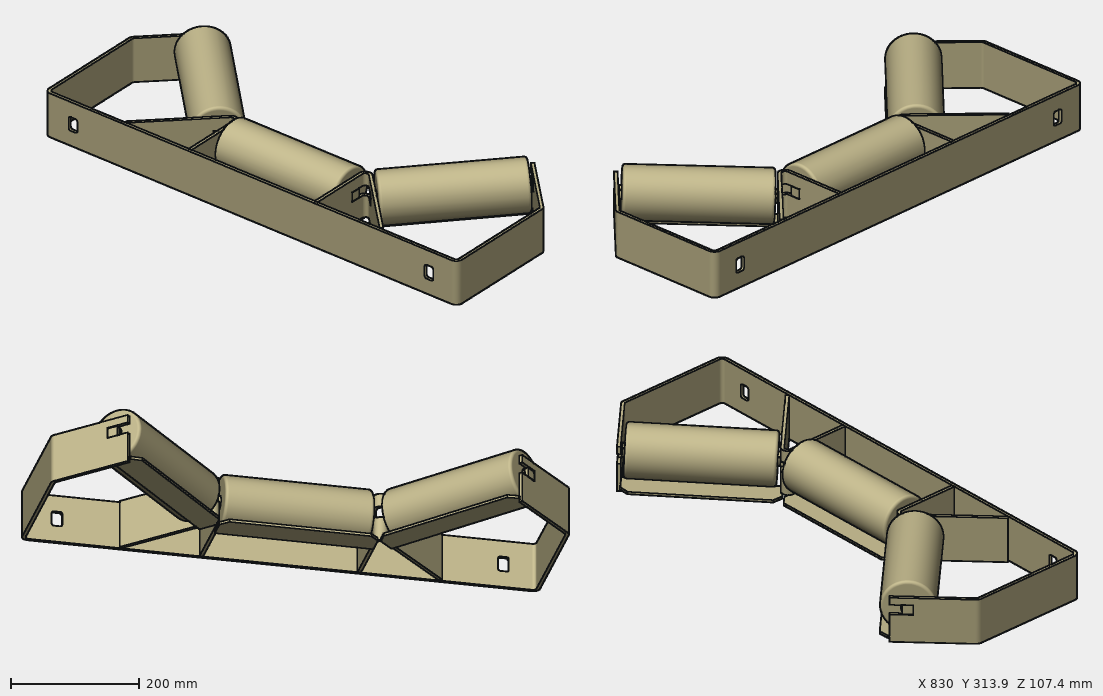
import cadquery as cq
import math


frame_width = 830.0
strip_thickness = 6.0
strip_height = 80.0
bend_radius = 12.0
strip_angle = 45.0

wing_tip_x = 316.0
wing_tip_y = 313.0
mount_slot_x = 358.0
mount_slot_width = 17.5
mount_slot_height = 25.0
mount_slot_corner = 4.0

bracket_face_x = 124.0
bracket_peak_y = 144.5

roller_diameter = 89.0
roller_length = 239.0
roller_fillet = 5.0
axle_hub_diameter = 22.0
axle_tang_height = 17.0

axle_slot_width = 17.5
axle_slot_rise = 33.0
axle_slot_depth = 15.0
axle_slot_clearance = 2.0

guard_length = 254.0
guard_width = 45.0
guard_thickness = 4.6
guard_chamfer = 13.0
side_guard_shift = 2.5
axis_to_guard = 49.0

middle_axis_y = 100.5
side_axis_x = 244.0
side_axis_y = 200.0
side_axis_z = 53.0
side_tilt = 2.2

half_width = frame_width / 2
inner_bend_radius = bend_radius - strip_thickness
wing_corner_y = wing_tip_y - (half_width - wing_tip_x) * math.tan(math.radians(strip_angle))
end_step_x = strip_thickness * math.sin(math.radians(strip_angle))
end_step_y = strip_thickness * math.cos(math.radians(strip_angle))
miter = strip_thickness * math.tan(math.radians((90 - strip_angle) / 2))
axle_half_length = bracket_face_x + strip_thickness


def round_bend(strip, outer_corner, inner_corner):
    """Round the outer and inner edge of one bend of a strip."""
    for (x, y), radius in ((outer_corner, bend_radius), (inner_corner, inner_bend_radius)):
        strip = strip.edges(cq.selectors.NearestToPointSelector((x, y, strip_height / 2))).fillet(radius)
    return strip


def make_frame():
    """Front strip with mounting slots, two side strips, and wings sloping inward at the back."""
    inner_x = half_width - strip_thickness
    outer_right = [(half_width, 0), (half_width, wing_corner_y), (wing_tip_x, wing_tip_y)]
    inner_right = [
        (wing_tip_x - end_step_x, wing_tip_y - end_step_y),
        (inner_x, wing_corner_y - miter),
        (inner_x, strip_thickness),
    ]
    right = outer_right + inner_right
    left = [(-x, y) for x, y in reversed(right)]
    frame = cq.Workplane("XY").polyline(right + left).close().extrude(strip_height)
    for side in (-1, 1):
        frame = round_bend(frame, (side * half_width, 0), (side * inner_x, strip_thickness))
        frame = round_bend(
            frame, (side * half_width, wing_corner_y), (side * inner_x, wing_corner_y - miter)
        )
    mount_slots = (
        cq.Workplane("XY")
        .pushPoints([(-mount_slot_x, 0), (mount_slot_x, 0)])
        .box(mount_slot_width, 2 * mount_slot_width, mount_slot_height)
        .edges("|Y")
        .fillet(mount_slot_corner)
        .translate((0, 0, strip_height / 2))
    )
    return frame.cut(mount_slots)


def make_bracket(side):
    """Upright leg and sloping leg joined by a bend; both stand on the frame's front strip."""
    slope = math.tan(math.radians(strip_angle))
    foot_y = strip_thickness
    foot_x = bracket_face_x + (bracket_peak_y - foot_y - end_step_y) / slope
    inner_x = bracket_face_x + strip_thickness
    leg_drop = strip_thickness / math.cos(math.radians(strip_angle))
    inner_peak_y = bracket_peak_y - leg_drop - strip_thickness * slope
    outline = [
        (bracket_face_x, foot_y),
        (bracket_face_x, bracket_peak_y),
        (foot_x, foot_y + end_step_y),
        (foot_x - end_step_x, foot_y),
        (inner_x, inner_peak_y),
        (inner_x, foot_y),
    ]
    points = [(side * x, y) for x, y in outline]
    bracket = cq.Workplane("XY").polyline(points).close().extrude(strip_height)
    return round_bend(bracket, points[1], points[4])




def make_roller():
    """Roller drum and axle in one piece: a round hub up to each strip, a flat-sided tang through it."""
    drum = (
        cq.Workplane("YZ", origin=(-roller_length / 2, 0, 0))
        .circle(roller_diameter / 2)
        .extrude(roller_length)
        .faces("<X or >X")
        .edges()
        .fillet(roller_fillet)
    )
    hubs = (
        cq.Workplane("YZ", origin=(-bracket_face_x, 0, 0))
        .circle(axle_hub_diameter / 2)
        .extrude(2 * bracket_face_x)
    )
    tangs = cq.Workplane("XY").box(2 * axle_half_length, axle_slot_width, axle_tang_height)
    return drum.union(hubs).union(tangs)


def make_guard(station):
    """Flat plate below the +Y half of a roller, with its two +Y corners cut off."""
    return (
        cq.Workplane("XY")
        .box(guard_length, guard_width, guard_thickness, centered=(True, False, False))
        .edges("|Z and >Y")
        .chamfer(guard_chamfer)
        .translate((-station * side_guard_shift, 0, -axis_to_guard - guard_thickness))
    )


def make_slot_cutters():
    """Square-bottomed slots at both axle ends, open on the +Y side."""
    slot_length = axle_slot_rise + axle_slot_width / 2
    start = bracket_face_x - axle_slot_clearance
    cutters = cq.Workplane("XY")
    for side in (-1, 1):
        cutters = cutters.union(
            cq.Workplane("XY")
            .box(axle_slot_depth, slot_length, axle_slot_width, centered=(True, False, True))
            .translate((side * (start + axle_slot_depth / 2), -axle_slot_width / 2, 0))
        )
    return cutters


def place(body, station):
    """Move a station's body from the origin to the middle (0), left (-1) or right (1) position."""
    if station == 0:
        return body.translate((0, middle_axis_y, axis_to_guard))
    tilted = body.rotate((0, 0, 0), (0, 1, 0), -station * side_tilt)
    turned = tilted.rotate((0, 0, 0), (0, 0, 1), station * strip_angle)
    return turned.translate((station * side_axis_x, side_axis_y, side_axis_z))


stations = (-1, 0, 1)
rollers = [place(make_roller(), station) for station in stations]
guards = [place(make_guard(station), station) for station in stations]
slot_cutters = [place(make_slot_cutters(), station) for station in stations]

frame = make_frame()
brackets = [make_bracket(side) for side in (-1, 1)]

for cutter in slot_cutters:
    frame = frame.cut(cutter)
    brackets = [bracket.cut(cutter) for bracket in brackets]
for guard in guards:
    frame = frame.cut(guard)

bodies = [frame] + brackets + rollers + guards
result = cq.Compound.makeCompound([body.val() for body in bodies])